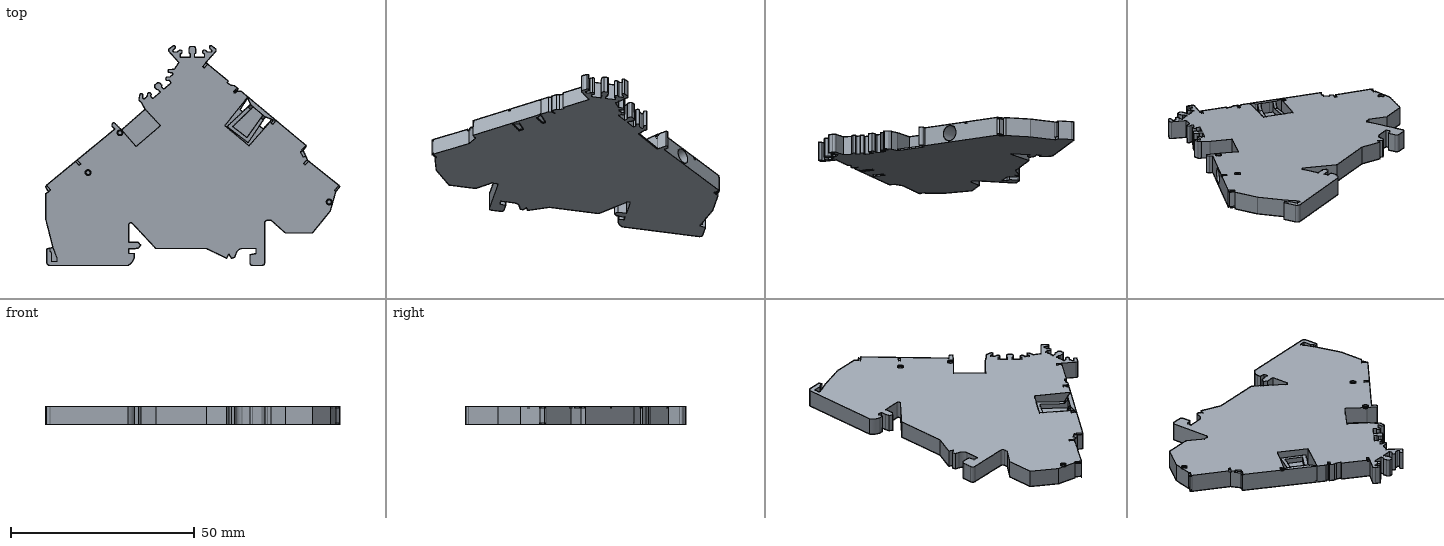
import cadquery as cq
import math

THICKNESS = 5.0
CUT_MARGIN = 1.0

FOOT_LEFT = 0.3
FOOT_CORNER_RADIUS = 0.9
RAIL_WALL_X = 22.75
RAIL_SEAT_Y = 4.6
LUG_UNDERSIDE_Y = 4.55
LUG_INNER_X = RAIL_WALL_X + 1.5
HOOK_LEFT = 55.7
HOOK_RIGHT = 59.8
HOOK_CORNER_RADIUS = 0.8
RECESS_TOP = 12.3
RECESS_RADIUS = 0.7
RIGHT_BASE_Y = 8.85

COMB_BASE_Y = 56.83
UPPER_COMB = (40.05, COMB_BASE_Y)
LOWER_COMB = (31.75, 47.7)
LOWER_COMB_TILT = 40.5
UPPER_FINGER_HEIGHT = 2.95
LOWER_FINGER_HEIGHT = 2.45
COMB_GAP_END = 3.3
COMB_SHOULDER = (6.2, 2.2)
NECK_HALF_WIDTH = 3.7
NECK_DROP = 1.47

ENTRY_TOP = (18.85, 37.2)
ENTRY_BOTTOM = (0.3, 21.95)
ENTRY_HOLE_Y = 32.0
ENTRY_HOLE_DIAMETER = 4.2
ENTRY_HOLE_DEPTH = 8.0

LEFT_POCKET = [(20.75, 37.0), (24.7, 32.45), (31.35, 38.15), (27.15, 42.65)]
LEFT_POCKET_FLOOR = 0.4

RIGHT_EDGE_TOP = (UPPER_COMB[0] + NECK_HALF_WIDTH, COMB_BASE_Y - NECK_DROP)

CLAMP_LEDGE = 0.4
CLAMP_FLOOR = 1.9
CLAMP_FRAME_TOP = 3.3
CLAMP_POCKET = [(55.1, 45.9), (48.9, 38.15), (55.5, 32.65), (61.85, 39.85), (59.95, 40.5), (55.9, 43.9)]
CLAMP_FRAME_OUTER = [(55.9, 43.9), (49.5, 37.9), (55.25, 33.5), (59.95, 40.5)]
CLAMP_FRAME_INNER = [(56.65, 43.26), (51.05, 37.9), (54.95, 34.9), (59.3, 41.05)]
CLAMP_OPENINGS = [
    [(55.1, 45.6), (53.1, 42.55), (53.75, 41.95), (55.9, 44.0)],
    [(61.7, 39.85), (59.35, 37.3), (58.35, 38.1), (59.95, 40.5)],
]
ARM_RAMP_LENGTH = 1.0

FOOT_SLOT = [(1.2, 4.75), (1.2, 4.0), (1.7, 3.35), (1.7, 1.15), (3.2, 1.15), (3.2, 1.85), (1.9, 5.3)]
FOOT_SLOT_FLOOR = 0.8

PIN_HOLES = [(11.6, 25.35), (20.3, 36.2), (77.35, 17.35)]
PIN_MOUTH_DIAMETER = 1.6
PIN_BORE_DIAMETER = 1.1
PIN_MOUTH_DEPTH = 0.4
PIN_HOLE_DEPTH = 1.0

GROOVE_WIDTH = 0.6
GROOVE_DEPTH = 0.4
TOP_GROOVES = [
    ((44.0, 55.15), (43.1, 54.05)),
    ((52.2, 48.0), (51.5, 47.2)),
    ((62.5, 39.6), (61.75, 38.65)),
    ((71.1, 32.35), (70.05, 31.3)),
    ((71.7, 28.8), (70.6, 27.65)),
    ((8.4, 28.6), (9.4, 27.5)),
]
EDGE_STEP = [(69.5, 31.0), (70.25, 29.6), (71.2, 29.8), (70.5, 31.4)]
TIP_GROOVES = [((80.2, 21.6), (79.05, 20.3)), ((0.1, 21.7), (1.15, 20.4))]


def prism(points, bottom, top):
    """Upright prism on a closed polygon."""
    return cq.Workplane("XY").workplane(offset=bottom).polyline(points).close().extrude(top - bottom)


def tilted(point, origin, angle):
    """Point given in a frame turned by angle (degrees) about origin."""
    c = math.cos(math.radians(angle))
    s = math.sin(math.radians(angle))
    return (origin[0] + point[0] * c - point[1] * s, origin[1] + point[0] * s + point[1] * c)


def comb(origin, angle, finger_height):
    """Marker comb: a central finger, two bumps and two hooked horns, mirror-symmetric."""
    half = (
        cq.Workplane("XY")
        .moveTo(0, -NECK_DROP)
        .lineTo(0, finger_height)
        .lineTo(0.5, finger_height)
        .threePointArc((0.85, finger_height - 0.35), (0.93, finger_height - 0.75))
        .lineTo(0.93, 1.15)
        .lineTo(0.63, 0.85)
        .lineTo(0.63, 0)
        .lineTo(COMB_GAP_END, 0)
        .lineTo(COMB_GAP_END, 0.9)
        .threePointArc((2.78, 1.55), (3.5, 1.95))
        .lineTo(4.1, 1.45)
        .lineTo(5.0, 1.45)
        .threePointArc((5.28, 1.65), (5.15, 1.95))
        .lineTo(4.75, 2.4)
        .threePointArc((4.7, 2.95), (5.2, 3.17))
        .lineTo(6.2, 2.4)
        .threePointArc((6.5, 1.95), (6.35, 1.5))
        .lineTo(NECK_HALF_WIDTH, -NECK_DROP)
        .close()
        .extrude(THICKNESS)
    )
    whole = half.union(half.mirror("YZ"))
    return whole.rotate((0, 0, 0), (0, 0, 1), angle).translate((origin[0], origin[1], 0))


def plate():
    """Plate outline, clockwise from the foot's lower left corner."""
    lower_comb_root = [
        tilted(p, LOWER_COMB, LOWER_COMB_TILT)
        for p in (
            (-COMB_SHOULDER[0], COMB_SHOULDER[1]),
            (-COMB_GAP_END, 0),
            (COMB_GAP_END, 0),
            COMB_SHOULDER,
        )
    ]
    outline = (
        cq.Workplane("XY")
        .moveTo(FOOT_LEFT + FOOT_CORNER_RADIUS, 0)
        .radiusArc((FOOT_LEFT, FOOT_CORNER_RADIUS), FOOT_CORNER_RADIUS)
        .lineTo(FOOT_LEFT, 4.55)
        .lineTo(2.0, 4.95)
        .lineTo(0.03, 12.65)
        .lineTo(0.03, 19.6)
        .lineTo(0.8, 20.1)
        .lineTo(0, 21.4)
        .lineTo(*ENTRY_BOTTOM)
        .lineTo(*ENTRY_TOP)
        .lineTo(18.2, 37.9)
        .threePointArc((18.2, 38.7), (18.7, 39.0))
        .lineTo(*LEFT_POCKET[0])
        .lineTo(*LEFT_POCKET[-1])
    )
    for point in lower_comb_root:
        outline = outline.lineTo(*point)
    return (
        outline.lineTo(UPPER_COMB[0] - NECK_HALF_WIDTH, COMB_BASE_Y - NECK_DROP)
        .lineTo(*RIGHT_EDGE_TOP)
        .lineTo(49.9, 50.3)
        .lineTo(49.5, 49.9)
        .lineTo(50.6, 49.2)
        .lineTo(51.5, 49.1)
        .lineTo(52.6, 48.2)
        .lineTo(51.4, 47.1)
        .lineTo(52.4, 47.6)
        .lineTo(53.3, 47.6)
        .lineTo(71.2, 32.65)
        .lineTo(70.3, 31.4)
        .lineTo(71.5, 28.7)
        .lineTo(80.0, 21.9)
        .lineTo(80.31, 21.5)
        .lineTo(79.2, 20.2)
        .lineTo(77.7, 14.9)
        .lineTo(72.8, RIGHT_BASE_Y)
        .lineTo(65.4, RIGHT_BASE_Y)
        .lineTo(61.55, RECESS_TOP)
        .lineTo(HOOK_RIGHT + RECESS_RADIUS, RECESS_TOP)
        .radiusArc((HOOK_RIGHT, RECESS_TOP - RECESS_RADIUS), -RECESS_RADIUS)
        .lineTo(HOOK_RIGHT, HOOK_CORNER_RADIUS)
        .radiusArc((HOOK_RIGHT - HOOK_CORNER_RADIUS, 0), HOOK_CORNER_RADIUS)
        .lineTo(HOOK_LEFT + HOOK_CORNER_RADIUS, 0)
        .radiusArc((HOOK_LEFT, HOOK_CORNER_RADIUS), HOOK_CORNER_RADIUS)
        .lineTo(HOOK_LEFT, 2.95)
        .lineTo(57.4, 3.3)
        .lineTo(57.4, RAIL_SEAT_Y)
        .lineTo(53.6, RAIL_SEAT_Y)
        .threePointArc((52.5, 4.1), (52.0, 3.25))
        .lineTo(51.6, 2.2)
        .lineTo(50.7, 1.95)
        .lineTo(50.0, 3.1)
        .lineTo(49.4, 1.95)
        .lineTo(43.9, RAIL_SEAT_Y)
        .lineTo(30.1, RAIL_SEAT_Y)
        .lineTo(23.7, 11.45)
        .threePointArc((23.1, 11.6), (RAIL_WALL_X, 11.1))
        .lineTo(RAIL_WALL_X, 6.4)
        .lineTo(25.2, 6.4)
        .lineTo(26.0, 5.6)
        .lineTo(25.4, 4.75)
        .lineTo(LUG_INNER_X, LUG_UNDERSIDE_Y)
        .lineTo(RAIL_WALL_X, LUG_UNDERSIDE_Y)
        .lineTo(RAIL_WALL_X, 3.3)
        .lineTo(LUG_INNER_X, 3.3)
        .lineTo(LUG_INNER_X, 2.3)
        .threePointArc((23.6, 0.9), (22.5, 0))
        .close()
        .extrude(THICKNESS)
    )


def clamp_ramp():
    """Wedge along the edge strip, falling from the plate face to the frame top."""
    strip_start = CLAMP_FRAME_OUTER[0]
    strip_end = CLAMP_FRAME_OUTER[-1]
    along = cq.Vector(strip_start[0] - strip_end[0], strip_start[1] - strip_end[1], 0)
    inward = cq.Vector(-along.y, along.x, 0)
    side = cq.Plane(origin=(*strip_end, 0), xDir=inward, normal=along)
    profile = [
        (0, CLAMP_FRAME_TOP),
        (ARM_RAMP_LENGTH, CLAMP_FRAME_TOP),
        (0, THICKNESS),
    ]
    return cq.Workplane(side).polyline(profile).close().extrude(along.Length)


def add_clamp(body):
    """Clamp pocket with its frame, the ramps on the frame arms and the two openings beside them."""
    above = THICKNESS + CUT_MARGIN
    body = body.cut(prism(CLAMP_POCKET, CLAMP_LEDGE, above))
    for opening in CLAMP_OPENINGS:
        body = body.cut(prism(opening, -CUT_MARGIN, above))
    frame = prism(CLAMP_FRAME_OUTER, 0, CLAMP_FRAME_TOP).union(clamp_ramp())
    frame = frame.cut(prism(CLAMP_FRAME_INNER, CLAMP_FLOOR, above))
    return body.union(frame)


def entry_hole():
    """Wire-entry bore, square to the left sloping edge at mid thickness."""
    run = ENTRY_TOP[0] - ENTRY_BOTTOM[0]
    rise = ENTRY_TOP[1] - ENTRY_BOTTOM[1]
    mouth_x = ENTRY_BOTTOM[0] + run * (ENTRY_HOLE_Y - ENTRY_BOTTOM[1]) / rise
    inward = cq.Vector(rise, -run, 0).normalized()
    start = cq.Vector(mouth_x, ENTRY_HOLE_Y, THICKNESS / 2) - inward * CUT_MARGIN
    return cq.Solid.makeCylinder(
        ENTRY_HOLE_DIAMETER / 2, ENTRY_HOLE_DEPTH + CUT_MARGIN, start, inward
    )


def pin_hole(diameter, depth):
    """Blind round cuts of one diameter at every pin position."""
    return (
        cq.Workplane("XY")
        .workplane(offset=THICKNESS - depth)
        .pushPoints(PIN_HOLES)
        .circle(diameter / 2)
        .extrude(depth)
    )


def groove(edge_end, inner_end, bottom):
    """Straight shallow groove between two points, GROOVE_DEPTH high, starting at height bottom."""
    dx = inner_end[0] - edge_end[0]
    dy = inner_end[1] - edge_end[1]
    bar = cq.Workplane("XY").rect(math.hypot(dx, dy), GROOVE_WIDTH).extrude(GROOVE_DEPTH)
    bar = bar.rotate((0, 0, 0), (0, 0, 1), math.degrees(math.atan2(dy, dx)))
    return bar.translate((edge_end[0] + dx / 2, edge_end[1] + dy / 2, bottom))


result = plate()
result = result.union(comb(UPPER_COMB, 0, UPPER_FINGER_HEIGHT))
result = result.union(comb(LOWER_COMB, LOWER_COMB_TILT, LOWER_FINGER_HEIGHT))
result = result.cut(prism(LEFT_POCKET, LEFT_POCKET_FLOOR, THICKNESS))
result = result.cut(prism(FOOT_SLOT, FOOT_SLOT_FLOOR, THICKNESS))
result = add_clamp(result)
result = result.cut(cq.Workplane(entry_hole()))
result = result.cut(pin_hole(PIN_MOUTH_DIAMETER, PIN_MOUTH_DEPTH))
result = result.cut(pin_hole(PIN_BORE_DIAMETER, PIN_HOLE_DEPTH))
result = result.cut(prism(EDGE_STEP, THICKNESS - GROOVE_DEPTH, THICKNESS))
for ends in TOP_GROOVES + TIP_GROOVES:
    result = result.cut(groove(*ends, THICKNESS - GROOVE_DEPTH))
for ends in TIP_GROOVES:
    result = result.cut(groove(*ends, 0))